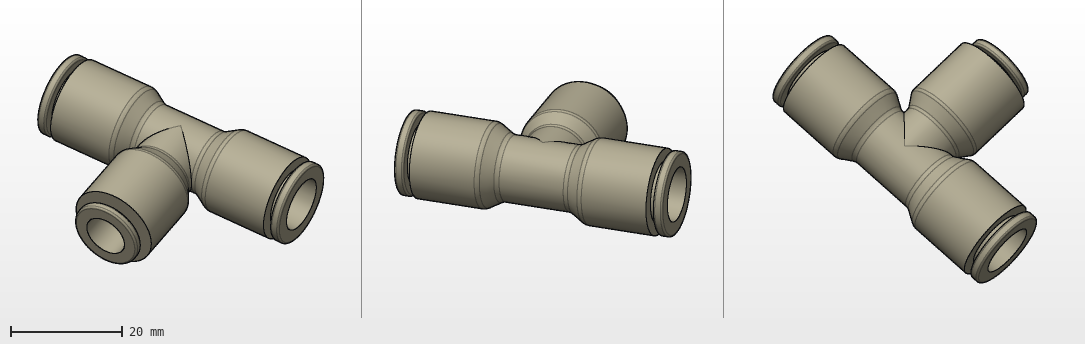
import cadquery as cq

length = 51.3
body_radius = 8.0
waist_radius = 6.15
rim_round = 0.35

run_length = length / 2
run_bore_radius = 5.05

branch_length = 25.35
branch_bore_radius = 4.0


def arm(arm_length, collar_width, collar_radius, neck_radius,
        body_end, cone_outer, cone_inner, blend):
    """Solid arm revolved about +Z, from the tee centre to its end face."""
    collar_start = arm_length - collar_width
    sleeve = (
        cq.Workplane("XZ")
        .moveTo(0, 0)
        .lineTo(waist_radius, 0)
        .lineTo(waist_radius, cone_inner)
        .lineTo(body_radius, cone_outer)
        .lineTo(body_radius, body_end)
        .lineTo(0, body_end)
        .close()
        .revolve(360, (0, 0, 0), (0, 1, 0))
    )
    blend_zone = cq.selectors.BoxSelector(
        (-length, -length, cone_inner / 2),
        (length, length, (cone_outer + body_end) / 2),
    )
    sleeve = sleeve.edges("%CIRCLE").edges(blend_zone).fillet(blend)
    neck = cq.Workplane("XY").circle(neck_radius).extrude(arm_length)
    collar = (
        cq.Workplane("XY")
        .workplane(offset=collar_start)
        .circle(collar_radius)
        .extrude(collar_width)
        .edges("%CIRCLE")
        .fillet(rim_round)
    )
    return sleeve.union(neck).union(collar)


run_arm = arm(
    run_length, collar_width=1.8, collar_radius=7.8, neck_radius=5.65,
    body_end=22.6, cone_outer=9.75, cone_inner=6.6, blend=1.8,
)
branch_arm = arm(
    branch_length, collar_width=1.55, collar_radius=6.55, neck_radius=4.55,
    body_end=22.6, cone_outer=10.0, cone_inner=7.25, blend=1.1,
)

right_arm = run_arm.rotate((0, 0, 0), (0, 1, 0), 90)
left_arm = right_arm.mirror("YZ")
branch = branch_arm.rotate((0, 0, 0), (1, 0, 0), 90)
tee = right_arm.union(left_arm).union(branch)

run_bore = cq.Workplane("YZ").circle(run_bore_radius).extrude(run_length, both=True)
branch_bore = cq.Workplane("XZ").circle(branch_bore_radius).extrude(branch_length)

result = tee.cut(run_bore).cut(branch_bore)